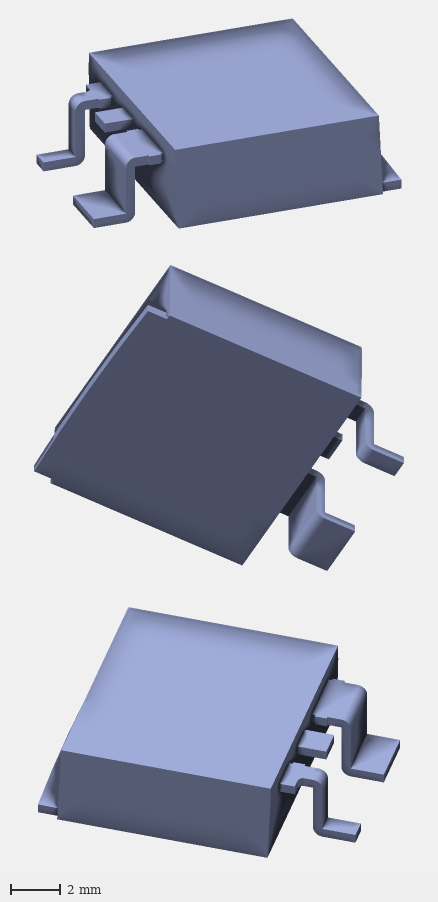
import cadquery as cq
import math


base_width = 10.0
housing_height = 3.5
top_depth = 8.87
side_draft = 2.5
end_draft = 2.0

sheet = 0.4
lead_top = 2.75
lead_bottom = lead_top - sheet
foot_bottom = -0.1
foot_top = foot_bottom + sheet

overall_length = 13.0
tab_width = 9.55
tab_crown = 0.12

lead_reach = 3.02
bend_start = 1.22
bend_end = bend_start + sheet
stub_length = 1.22
shoulder_start = 0.13
shoulder_end = 0.64
shoulder_step = 0.1

narrow_left = -2.92
narrow_width = 0.78
wing_width = 0.62
wing_fillet = 0.22
stub_left = -1.01
stub_width = 1.13
wide_left = 1.16
wide_width = 2.35

root_depth = 0.13


def make_block(left, width, front, back, bottom, height):
    """Box given by its left, front and bottom limits."""
    return cq.Workplane("XY").box(width, back - front, height, centered=False).translate((left, front, bottom))


def make_housing():
    """Intersect the front and side outlines to get the tapered housing."""
    side_inset = housing_height * math.tan(math.radians(side_draft))
    end_slope = math.tan(math.radians(end_draft))
    half_base = base_width / 2
    half_top = half_base - side_inset
    base_back = top_depth + housing_height * end_slope

    across = (
        cq.Workplane("XZ")
        .polyline([(-half_base, 0), (half_base, 0), (half_top, housing_height), (-half_top, housing_height)])
        .close()
        .extrude(base_width, both=True)
    )
    along = (
        cq.Workplane("YZ")
        .polyline([
            (lead_top * end_slope, 0),
            (base_back, 0),
            (top_depth, housing_height),
            (0, housing_height),
            (0, lead_top),
        ])
        .close()
        .extrude(base_width, both=True)
    )
    return across.intersect(along)


def make_tab(housing):
    """Rear tab with a gently crowned outer edge, butting against the housing."""
    crown_y = overall_length - lead_reach
    corner_y = crown_y - tab_crown
    half_width = tab_width / 2
    stock = (
        cq.Workplane("XY")
        .moveTo(-half_width, top_depth)
        .lineTo(half_width, top_depth)
        .lineTo(half_width, corner_y)
        .threePointArc((0, crown_y), (-half_width, corner_y))
        .close()
        .extrude(sheet)
    )
    return stock.cut(housing)


def make_bent_strip(left, width):
    """Gull-wing strip whose bends are round outside and sharp inside."""
    round_mid = sheet * math.sqrt(0.5)
    return (
        cq.Workplane("YZ")
        .moveTo(root_depth, lead_bottom)
        .lineTo(root_depth, lead_top)
        .lineTo(-bend_start, lead_top)
        .threePointArc((-bend_start - round_mid, lead_bottom + round_mid), (-bend_end, lead_bottom))
        .lineTo(-bend_end, foot_top)
        .lineTo(-lead_reach, foot_top)
        .lineTo(-lead_reach, foot_bottom)
        .lineTo(-bend_end, foot_bottom)
        .threePointArc((-bend_end + round_mid, foot_top - round_mid), (-bend_start, foot_top))
        .lineTo(-bend_start, lead_bottom)
        .close()
        .extrude(width)
        .translate((left, 0, 0))
    )


def make_shoulder(left):
    """Small block that sticks out from one side of a lead."""
    return make_block(left, shoulder_step, -shoulder_end, -shoulder_start, lead_bottom, sheet)


def make_narrow_lead(housing):
    """Narrow lead with a filleted wing on the left and a shoulder on the right."""
    wing = (
        cq.Workplane("XY", origin=(narrow_left, 0, lead_bottom))
        .moveTo(0, root_depth)
        .lineTo(-wing_width, root_depth)
        .lineTo(-wing_width, -shoulder_end)
        .lineTo(-wing_fillet, -shoulder_end)
        .radiusArc((0, -shoulder_end - wing_fillet), wing_fillet)
        .close()
        .extrude(sheet)
    )
    lead = make_bent_strip(narrow_left, narrow_width).union(wing)
    return lead.union(make_shoulder(narrow_left + narrow_width)).cut(housing)


def make_wide_lead(housing):
    """Wide lead with a shoulder on each side."""
    lead = make_bent_strip(wide_left, wide_width)
    for left in (wide_left - shoulder_step, wide_left + wide_width):
        lead = lead.union(make_shoulder(left))
    return lead.cut(housing)


def make_stub_lead(housing):
    """Cropped straight lead between the two bent ones."""
    return make_block(stub_left, stub_width, -stub_length, root_depth, lead_bottom, sheet).cut(housing)


housing = make_housing()
tab = make_tab(housing)
narrow_lead = make_narrow_lead(housing)
stub_lead = make_stub_lead(housing)
wide_lead = make_wide_lead(housing)

result = cq.Compound.makeCompound([
    housing.solids().val(),
    tab.solids().val(),
    narrow_lead.solids().val(),
    stub_lead.solids().val(),
    wide_lead.solids().val(),
])